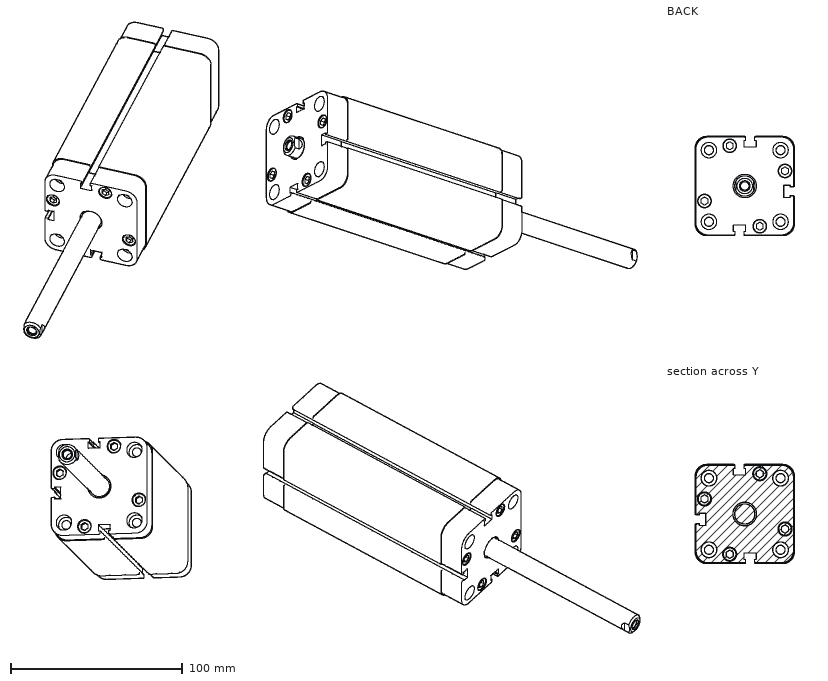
import cadquery as cq

TOTAL_LENGTH = 258.5
FRONT_ROD_LENGTH = 106.0
BACK_ROD_LENGTH = 6.5
CAP_LENGTH = 15.0
FRONT_END = -TOTAL_LENGTH / 2
BACK_END = TOTAL_LENGTH / 2
FRONT_FACE = FRONT_END + FRONT_ROD_LENGTH
BACK_FACE = BACK_END - BACK_ROD_LENGTH

BODY_SIDE = 58.2
CAP_SIDE = 57.0
CORNER_RADIUS = 7.0

SLOT_OFFSET = 3.0
SLOT_OPENING = 5.2
SLOT_WIDTH = 7.0
BODY_SLOT_DEPTH = 6.5
CAP_SLOT_DEPTH = 5.7
SLOT_LIP = 2.5
SLOT_EDGE_RADIUS = 0.8

MOUNT_OFFSET = 21.0
MOUNT_DIAMETER = 5.2
MOUNT_BORE_DIAMETER = 9.0
MOUNT_BORE_DEPTH = 7.8

SCREW_ALONG = 8.8
SCREW_OUT = 23.5
SCREW_HOLE_DIAMETER = 8.0
SCREW_HEAD_DIAMETER = 7.5
SCREW_RECESS = 0.5
SCREW_GAP_DEPTH = 1.5
SOCKET_CORNER_DIAMETER = 4.7
SOCKET_DEPTH = 2.5

ROD_DIAMETER = 12.0
ROD_CLEARANCE_DIAMETER = 13.7
ROD_CLEARANCE_DEPTH = 1.0
ROD_TIP_DIAMETER = 9.0
ROD_CHAMFER_LENGTH = 1.0
ROD_FLAT_WIDTH = 10.0
ROD_FLAT_LENGTH = 4.1
ROD_FLAT_RUNOUT = 1.5
CORE_DIAMETER = 5.0
THREAD_MOUTH_DIAMETER = 6.2
THREAD_MOUTH_DEPTH = 1.0
THREAD_DEPTH = 12.0


def xz_plane(y):
    """Plane at the given Y whose local axes are X and Z; it extrudes toward +Y."""
    return cq.Workplane(cq.Plane(origin=(0, y, 0), xDir=(1, 0, 0), normal=(0, -1, 0)))


def square_block(side, start, end):
    block = xz_plane(start).rect(side, side).extrude(start - end)
    return block.edges("|Y").fillet(CORNER_RADIUS)


def cylinder(x, z, diameter, start, end):
    return xz_plane(start).center(x, z).circle(diameter / 2).extrude(start - end)


def both_ends(tool):
    """Add the matching tool for the back face to a tool made for the front face."""
    middle = (FRONT_FACE + BACK_FACE) / 2
    return tool.union(tool.mirror("XZ", (0, middle, 0)))


def slotted_block(side, slot_depth, start, end):
    """Rounded square block with T-slots in its top, left and bottom sides."""
    top = side / 2
    lip_bottom = BODY_SIDE / 2 - SLOT_LIP
    floor = top - slot_depth
    half_opening = SLOT_OPENING / 2
    half_mouth = half_opening + SLOT_EDGE_RADIUS
    half_width = SLOT_WIDTH / 2
    arc_end = top - SLOT_EDGE_RADIUS
    slot = (
        xz_plane(start)
        .center(-SLOT_OFFSET, 0)
        .moveTo(half_mouth, top)
        .radiusArc((half_opening, arc_end), -SLOT_EDGE_RADIUS)
        .lineTo(half_opening, lip_bottom)
        .lineTo(half_width, lip_bottom)
        .lineTo(half_width, floor)
        .lineTo(-half_width, floor)
        .lineTo(-half_width, lip_bottom)
        .lineTo(-half_opening, lip_bottom)
        .lineTo(-half_opening, arc_end)
        .radiusArc((-half_mouth, top), -SLOT_EDGE_RADIUS)
        .close()
        .extrude(start - end)
    )
    block = square_block(side, start, end)
    for angle in (0, -90, 180):
        block = block.cut(slot.rotate((0, 0, 0), (0, 1, 0), angle))
    return block


def housing():
    front_seam = FRONT_FACE + CAP_LENGTH
    back_seam = BACK_FACE - CAP_LENGTH
    body = slotted_block(BODY_SIDE, BODY_SLOT_DEPTH, front_seam, back_seam)
    front_cap = slotted_block(CAP_SIDE, CAP_SLOT_DEPTH, FRONT_FACE, front_seam)
    back_cap = slotted_block(CAP_SIDE, CAP_SLOT_DEPTH, back_seam, BACK_FACE)
    return body.union(front_cap).union(back_cap)


def mounting_holes():
    holes = cq.Workplane()
    for x in (-MOUNT_OFFSET, MOUNT_OFFSET):
        for z in (-MOUNT_OFFSET, MOUNT_OFFSET):
            bore = cylinder(x, z, MOUNT_BORE_DIAMETER, FRONT_FACE, FRONT_FACE + MOUNT_BORE_DEPTH)
            holes = holes.add(cylinder(x, z, MOUNT_DIAMETER, FRONT_FACE, BACK_FACE).union(both_ends(bore)))
    return holes.combine()


def screw_recesses():
    """Recesses that show the four sunk screw heads, each head with an upright hexagon socket."""
    recesses = cq.Workplane()
    head_face = FRONT_FACE + SCREW_RECESS
    head_end = head_face + SCREW_GAP_DEPTH
    for x, z in (
        (SCREW_ALONG, SCREW_OUT),
        (-SCREW_OUT, SCREW_ALONG),
        (-SCREW_ALONG, -SCREW_OUT),
        (SCREW_OUT, -SCREW_ALONG),
    ):
        hole = cylinder(x, z, SCREW_HOLE_DIAMETER, FRONT_FACE, head_end)
        head = cylinder(x, z, SCREW_HEAD_DIAMETER, head_face, head_end)
        socket = (
            xz_plane(head_face)
            .center(x, z)
            .transformed(rotate=(0, 0, 90))
            .polygon(6, SOCKET_CORNER_DIAMETER)
            .extrude(-SOCKET_DEPTH)
        )
        recesses = recesses.add(hole.cut(head).union(socket))
    return both_ends(recesses.combine())


def rod_clearance():
    return both_ends(cylinder(0, 0, ROD_CLEARANCE_DIAMETER, FRONT_FACE, FRONT_FACE + ROD_CLEARANCE_DEPTH))


def front_rod_end_cuts():
    """Wrench flats, with sloping run-outs, and the threaded hole of the front rod end."""
    flat_half = ROD_FLAT_WIDTH / 2
    radius = ROD_DIAMETER / 2
    flat_end = FRONT_END + ROD_FLAT_LENGTH
    flat = (
        cq.Workplane()
        .polyline([
            (flat_half, FRONT_END),
            (flat_half, flat_end),
            (radius, flat_end + ROD_FLAT_RUNOUT),
            (radius, FRONT_END),
        ])
        .close()
        .extrude(radius, both=True)
    )
    mouth_radius = THREAD_MOUTH_DIAMETER / 2
    hole_radius = CORE_DIAMETER / 2
    hole = (
        cq.Workplane()
        .polyline([
            (0, FRONT_END),
            (mouth_radius, FRONT_END),
            (mouth_radius, FRONT_END + THREAD_MOUTH_DEPTH),
            (hole_radius, FRONT_END + THREAD_MOUTH_DEPTH),
            (hole_radius, FRONT_END + THREAD_DEPTH),
            (0, FRONT_END + THREAD_DEPTH + hole_radius),
        ])
        .close()
        .revolve(360, (0, 0, 0), (0, 1, 0))
    )
    return flat.union(flat.mirror("YZ")).union(hole)


def rod():
    tip_radius = ROD_TIP_DIAMETER / 2
    radius = ROD_DIAMETER / 2
    bar = (
        cq.Workplane()
        .polyline([
            (0, FRONT_END),
            (tip_radius, FRONT_END),
            (radius, FRONT_END + ROD_CHAMFER_LENGTH),
            (radius, BACK_END - ROD_CHAMFER_LENGTH),
            (tip_radius, BACK_END),
            (0, BACK_END),
        ])
        .close()
        .revolve(360, (0, 0, 0), (0, 1, 0))
    )
    cuts = front_rod_end_cuts()
    return bar.cut(cuts).cut(cuts.mirror("XZ"))


result = (
    housing()
    .cut(mounting_holes())
    .cut(screw_recesses())
    .cut(rod_clearance())
    .union(rod())
)